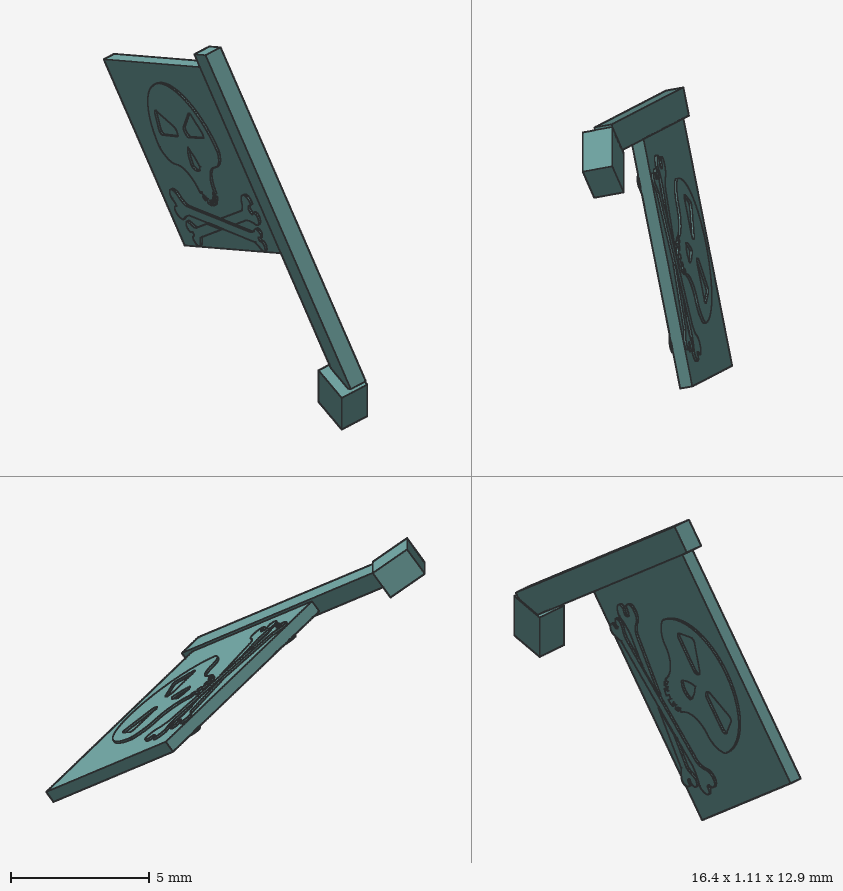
import cadquery as cq
import math


TILT = 45.0
FLAG_WIDTH = 9.18
FLAG_HEIGHT = 7.5
FLAG_THICKNESS = 0.46
POLE_WIDTH = 1.05
POLE_THICKNESS = 0.65
POLE_LENGTH = 13.45
POLE_OVERHANG = 0.57

BLOCK_WIDTH = 1.52
BLOCK_DEPTH = 1.11
BLOCK_HEIGHT = 1.87
BLOCK_RIGHT = 10.49
BLOCK_TOP = -2.64
BLOCK_BACK = 0.36

RELIEF_THICKNESS = 0.62
CRANIUM_RADIUS = 2.67
CRANIUM_CENTRE = 0.31
CHEEK_END = (1.85, -0.35)
CHEEK_MIDDLE = (2.45, -0.05)
JAW_MIDDLE = (1.02, -0.67)
CHIN_RADIUS = 0.69
CHIN_CENTRE = -1.26
CHIN_HALF_ANGLE = 80.0

TOOTH_GAP_WIDTH = 0.16
TOOTH_GAPS = [(0.0, 0.48), (37.5, 0.48), (66.0, 0.54)]

EYE_CORNERS = [(-0.31, 0.8), (1.62, 1.9), (2.1, 0.84)]
EYE_INNER_ROUND = 0.23
EYE_OUTER_ROUND = 0.16

NOSE_TOP = (0, 0.4)
NOSE_SIDE = (0.25, 0.07)
NOSE_CORNER = (0.38, -0.38)
NOSE_BOTTOM = (0, -0.55)

SHAFT_TOP_LEFT = (-2.54, -2.93)
SHAFT_TOP_RIGHT = (2.52, -2.07)
SHAFT_BOTTOM_RIGHT = (2.62, -2.45)
SHAFT_BOTTOM_LEFT = (-2.54, -3.33)
BONE_GAP = 0.07

REAR_KNUCKLE = [(3.64, -1.52), (3.67, -1.79)]
FRONT_KNUCKLE = [(3.59, -1.54), (3.62, -1.79)]

REAR_NOTCH = [(3.45, -1.84), (3.28, -2.0), (3.43, -2.18)]
FRONT_NOTCH = [(3.54, -1.88), (3.49, -2.0), (3.54, -2.1)]

REAR_CREST = [(-3.35, -2.82), (-3.13, -2.69), (-3.0, -2.74), (-2.84, -2.84)]
FRONT_CREST = [(-3.33, -2.87), (-3.15, -2.77), (-3.0, -2.8), (-2.84, -2.88)]


def mirrored(point):
    return (-point[0], point[1])


def slab(profile, thickness):
    """Extrude a profile to a thickness centred on the flag's mid-plane."""
    return profile.extrude(thickness / 2, both=True)


def trace(start, steps):
    """Closed outline: a step of one point is a line, of two points an arc (middle, end)."""
    outline = cq.Workplane("XY").moveTo(*start)
    for step in steps:
        if len(step) == 1:
            outline = outline.lineTo(*step[0])
        else:
            outline = outline.threePointArc(*step)
    return outline.close()


def make_skull():
    temple = (CRANIUM_RADIUS, CRANIUM_CENTRE)
    crown = (0, CRANIUM_CENTRE + CRANIUM_RADIUS)
    chin_angle = math.radians(CHIN_HALF_ANGLE)
    chin_end = (CHIN_RADIUS * math.sin(chin_angle), CHIN_CENTRE - CHIN_RADIUS * math.cos(chin_angle))
    outline = trace(mirrored(temple), [
        (crown, temple),
        (CHEEK_MIDDLE, CHEEK_END),
        (JAW_MIDDLE, chin_end),
        ((0, CHIN_CENTRE - CHIN_RADIUS), mirrored(chin_end)),
        (mirrored(JAW_MIDDLE), mirrored(CHEEK_END)),
        (mirrored(CHEEK_MIDDLE), mirrored(temple)),
    ])
    skull = slab(outline, RELIEF_THICKNESS)

    eye = slab(cq.Workplane("XY").polyline(EYE_CORNERS).close(), RELIEF_THICKNESS)
    eye = eye.edges("|Z and (not <X)").fillet(EYE_OUTER_ROUND)
    eye = eye.edges("|Z and <X").fillet(EYE_INNER_ROUND)
    nose = trace(NOSE_TOP, [
        (NOSE_SIDE, NOSE_CORNER),
        (NOSE_BOTTOM, mirrored(NOSE_CORNER)),
        (mirrored(NOSE_SIDE), NOSE_TOP),
    ])
    skull = skull.cut(eye).cut(eye.mirror("YZ")).cut(slab(nose, RELIEF_THICKNESS))

    for angle, root_radius in TOOTH_GAPS:
        gap = (
            cq.Workplane("XY")
            .box(TOOTH_GAP_WIDTH, CHIN_RADIUS, RELIEF_THICKNESS)
            .translate((0, -root_radius - CHIN_RADIUS / 2, 0))
        )
        for turn in (angle, -angle):
            turned = gap.rotate((0, 0, 0), (0, 0, 1), turn)
            skull = skull.cut(turned.translate((0, CHIN_CENTRE, 0)))
    return skull


def make_bone(knuckle, notch, crest):
    """Bone rising to the right, with the given knuckle and notch above and crest below."""
    knuckle_middle, knuckle_end = knuckle
    notch_start, notch_floor, notch_end = notch
    crest_outer, crest_top, crest_inner, crest_foot = crest
    outline = trace(SHAFT_TOP_LEFT, [
        (SHAFT_TOP_RIGHT,),
        ((2.75, -1.92), (2.92, -1.7)),
        ((3.08, -1.49), (3.36, -1.41)),
        (knuckle_middle, knuckle_end),
        (notch_start,),
        (notch_floor, notch_end),
        ((3.6, -2.1),),
        ((3.79, -2.21), (3.77, -2.41)),
        ((3.62, -2.55), (3.41, -2.62)),
        ((3.03, -2.49), SHAFT_BOTTOM_RIGHT),
        (SHAFT_BOTTOM_LEFT,),
        ((-2.82, -3.59),),
        ((-3.03, -3.69), (-3.23, -3.54)),
        ((-3.26, -3.4), (-3.18, -3.3)),
        ((-3.1, -3.28),),
        ((-3.02, -3.2), (-3.06, -3.11)),
        ((-3.25, -3.13),),
        ((-3.38, -3.0),),
        (crest_outer, crest_top),
        (crest_inner, crest_foot),
        ((-2.69, -2.92), SHAFT_TOP_LEFT),
    ])
    return slab(outline, RELIEF_THICKNESS)


def make_crossbones():
    front_bone = make_bone(FRONT_KNUCKLE, FRONT_NOTCH, FRONT_CREST).mirror("YZ")
    rear_bone = make_bone(REAR_KNUCKLE, REAR_NOTCH, REAR_CREST)
    clearance_corners = [
        (-SHAFT_TOP_LEFT[0], SHAFT_TOP_LEFT[1] + BONE_GAP),
        (-SHAFT_TOP_RIGHT[0], SHAFT_TOP_RIGHT[1] + BONE_GAP),
        (-SHAFT_BOTTOM_RIGHT[0], SHAFT_BOTTOM_RIGHT[1] - BONE_GAP),
        (-SHAFT_BOTTOM_LEFT[0], SHAFT_BOTTOM_LEFT[1] - BONE_GAP),
    ]
    clearance = slab(cq.Workplane("XY").polyline(clearance_corners).close(), RELIEF_THICKNESS)
    bones = rear_bone.cut(clearance).union(front_bone)
    flag_area = cq.Workplane("XY").box(FLAG_WIDTH, FLAG_HEIGHT, RELIEF_THICKNESS)
    return bones.intersect(flag_area)


def make_pole():
    top = FLAG_HEIGHT / 2 + POLE_OVERHANG
    return (
        cq.Workplane("XY")
        .box(POLE_WIDTH, POLE_LENGTH, POLE_THICKNESS)
        .translate((FLAG_WIDTH / 2 + POLE_WIDTH / 2, top - POLE_LENGTH / 2, 0))
    )


def make_block():
    return (
        cq.Workplane("XY")
        .box(BLOCK_WIDTH, BLOCK_DEPTH, BLOCK_HEIGHT)
        .translate((
            BLOCK_RIGHT - BLOCK_WIDTH / 2,
            BLOCK_BACK - BLOCK_DEPTH / 2,
            BLOCK_TOP - BLOCK_HEIGHT / 2,
        ))
    )


flag = cq.Workplane("XY").box(FLAG_WIDTH, FLAG_HEIGHT, FLAG_THICKNESS)
flag = flag.union(make_pole()).union(make_skull()).union(make_crossbones())
flag = flag.rotate((0, 0, 0), (0, 0, 1), TILT).rotate((0, 0, 0), (1, 0, 0), 90)
result = flag.union(make_block())